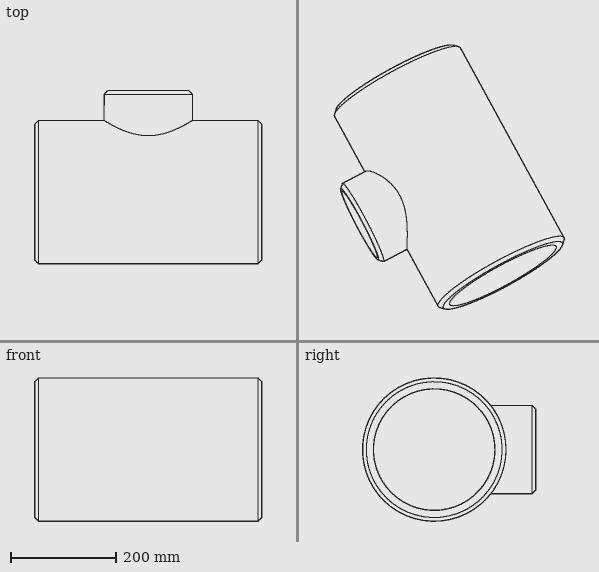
import cadquery as cq

run_length = 432.0
run_diameter = 273.0
run_bore = 230.5

branch_reach = 193.5
branch_diameter = 168.5
branch_wall = 13.0
branch_bore = branch_diameter - 2 * branch_wall

end_chamfer = 7.5


def run_cylinder(diameter):
    """Cylinder along X, centred on the origin."""
    return cq.Workplane("YZ").circle(diameter / 2).extrude(run_length / 2, both=True)


def branch_cylinder(diameter):
    """Cylinder from the main axis to the branch end, along +Y."""
    return cq.Workplane("XZ").circle(diameter / 2).extrude(-branch_reach)


run_body = run_cylinder(run_diameter).faces("<X or >X").edges().chamfer(end_chamfer)
branch_body = branch_cylinder(branch_diameter).faces(">Y").edges().chamfer(end_chamfer)

bores = run_cylinder(run_bore).union(branch_cylinder(branch_bore))

result = run_body.union(branch_body).cut(bores)